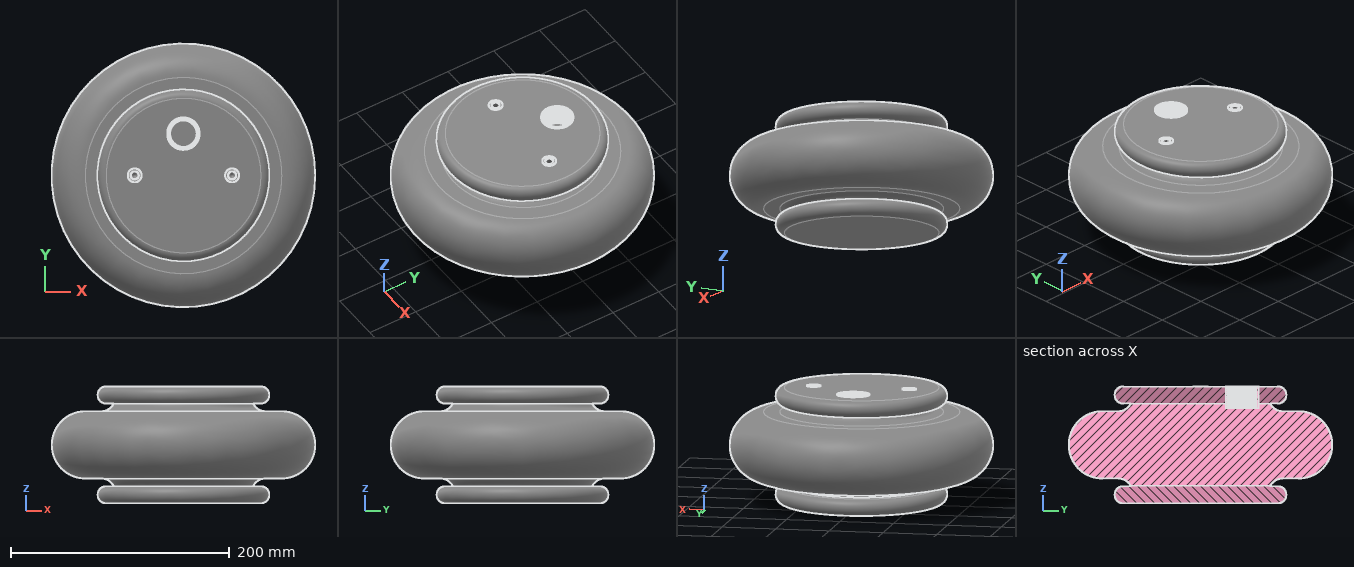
import cadquery as cq
import math

total_height = 107.0
bellows_radius = 120.5
bellows_height = 61.7
bead_radius = 78.6
bead_height = 16.0

neck_throat_radius = 125.2 / 2
neck_fillet_radius = 12.3

port_offset_y = 38.0
port_outer_diameter = 30.0
port_bore_diameter = 24.0
thread_root_diameter = 26.5
thread_pitch = 1.8
thread_count = 11
thread_flat = thread_pitch / 6

insert_spacing = 89.0
insert_diameter = 13.0
insert_bore_diameter = 6.8
insert_mouth_diameter = 8.0
insert_bore_depth = 12.0
drill_point_angle = 118.0

rim_chamfer = 0.35

top_z = total_height / 2
plate_inner_z = top_z - bead_height
shoulder_z = bellows_height / 2
port_depth = thread_pitch * thread_count
port_floor_z = top_z - port_depth


def cylinder(diameter, bottom_z, height, x=0, y=0):
    return cq.Workplane("XY", origin=(x, y, bottom_z)).circle(diameter / 2).extrude(height)


def revolve_about_z(profile):
    return profile.close().revolve(360, (0, 0, 0), (0, 1, 0))


def make_bellows():
    """Solid of revolution with a round rim and a concave neck at each end."""
    rim_radius = bellows_height / 2
    rim_start = bellows_radius - rim_radius
    fillet_center_r = neck_throat_radius + neck_fillet_radius
    fillet_center_z = shoulder_z + neck_fillet_radius

    def fillet_r(z):
        return fillet_center_r - math.sqrt(neck_fillet_radius**2 - (fillet_center_z - z) ** 2)

    neck_end_r = fillet_r(plate_inner_z)
    neck_mid_z = (shoulder_z + plate_inner_z) / 2
    neck_mid_r = fillet_r(neck_mid_z)
    profile = (
        cq.Workplane("XZ")
        .moveTo(0, -plate_inner_z)
        .lineTo(neck_end_r, -plate_inner_z)
        .threePointArc((neck_mid_r, -neck_mid_z), (fillet_center_r, -shoulder_z))
        .lineTo(rim_start, -shoulder_z)
        .threePointArc((bellows_radius, 0), (rim_start, shoulder_z))
        .lineTo(fillet_center_r, shoulder_z)
        .threePointArc((neck_mid_r, neck_mid_z), (neck_end_r, plate_inner_z))
        .lineTo(0, plate_inner_z)
    )
    return revolve_about_z(profile)


def make_end_plate(bottom_z):
    """Disc with a fully rounded edge."""
    flat_radius = bead_radius - bead_height / 2
    profile = (
        cq.Workplane("XZ")
        .moveTo(0, bottom_z)
        .lineTo(flat_radius, bottom_z)
        .threePointArc((bead_radius, bottom_z + bead_height / 2), (flat_radius, bottom_z + bead_height))
        .lineTo(0, bottom_z + bead_height)
    )
    return revolve_about_z(profile)


def make_port():
    """Open sleeve whose bore carries ring-shaped threads with flat crests and roots."""
    bore_radius = port_bore_diameter / 2
    root_radius = thread_root_diameter / 2
    outer_radius = port_outer_diameter / 2
    profile = (
        cq.Workplane("XZ")
        .moveTo(outer_radius, top_z - rim_chamfer)
        .lineTo(outer_radius - rim_chamfer, top_z)
        .lineTo(root_radius, top_z)
    )
    flank_height = thread_pitch / 2 - thread_flat
    for thread in range(thread_count):
        thread_top_z = top_z - thread * thread_pitch
        crest_top_z = thread_top_z - thread_flat / 2 - flank_height
        crest_bottom_z = crest_top_z - thread_flat
        profile = profile.lineTo(root_radius, thread_top_z - thread_flat / 2)
        profile = profile.lineTo(bore_radius, crest_top_z)
        profile = profile.lineTo(bore_radius, crest_bottom_z)
        profile = profile.lineTo(root_radius, crest_bottom_z - flank_height)
    profile = profile.lineTo(root_radius, port_floor_z)
    profile = profile.lineTo(outer_radius, port_floor_z)
    return revolve_about_z(profile).translate((0, port_offset_y, 0))


def make_insert(x):
    """Plug with a countersunk blind hole that ends in a drill point."""
    outer_radius = insert_diameter / 2
    bore_radius = insert_bore_diameter / 2
    mouth_radius = insert_mouth_diameter / 2
    bore_end_z = top_z - insert_bore_depth
    drill_tip_z = bore_end_z - bore_radius / math.tan(math.radians(drill_point_angle / 2))
    countersink_depth = mouth_radius - bore_radius
    profile = (
        cq.Workplane("XZ")
        .moveTo(0, plate_inner_z)
        .lineTo(outer_radius, plate_inner_z)
        .lineTo(outer_radius, top_z - rim_chamfer)
        .lineTo(outer_radius - rim_chamfer, top_z)
        .lineTo(mouth_radius, top_z)
        .lineTo(bore_radius, top_z - countersink_depth)
        .lineTo(bore_radius, bore_end_z)
        .lineTo(0, drill_tip_z)
    )
    return revolve_about_z(profile).translate((x, 0, 0))


insert_positions = [-insert_spacing / 2, insert_spacing / 2]

port_recess = cylinder(port_outer_diameter, port_floor_z, port_depth, y=port_offset_y)
bellows = make_bellows().cut(port_recess)
bottom_plate = make_end_plate(-top_z)
top_plate = make_end_plate(plate_inner_z).cut(port_recess)
for insert_x in insert_positions:
    top_plate = top_plate.cut(cylinder(insert_diameter, plate_inner_z, bead_height, x=insert_x))

port = make_port()
inserts = [make_insert(insert_x) for insert_x in insert_positions]

result = cq.Compound.makeCompound(
    [
        bellows.val(),
        bottom_plate.val(),
        top_plate.val(),
        port.val(),
        *[insert.val() for insert in inserts],
    ]
)